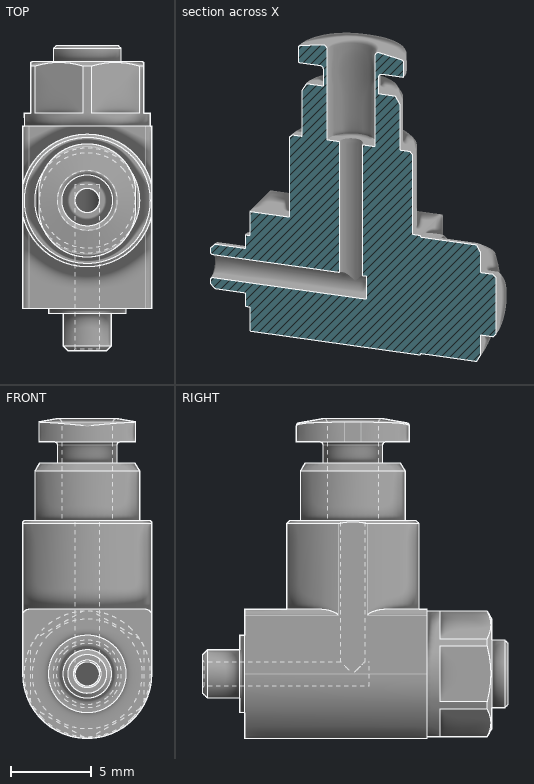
import cadquery as cq
import math


BODY_WIDTH = 8.0
BODY_RADIUS = BODY_WIDTH / 2
BODY_TOP = 4.0
BODY_FRONT = -6.7
BODY_BACK = 4.6
BODY_EDGE_FILLET = 0.4

TOWER_DIAMETER = 8.2
TOWER_TOP = 9.5
TOWER_CHAMFER = 0.2
COLLAR_DIAMETER = 6.5
COLLAR_TOP = 13.05
COLLAR_CHAMFER_HEIGHT = 0.5
COLLAR_CHAMFER_INSET = 0.3

NECK_DIAMETER = 3.7
NECK_FILLET = 0.2
BUTTON_WIDTH = 6.0
BUTTON_LENGTH = 7.0
BUTTON_BOTTOM = 14.35
BUTTON_TOP = 15.8
BUTTON_SLOPE_ANGLE = math.radians(10)
BUTTON_RIM_FILLET = 0.2
TUBE_BORE_DIAMETER = 3.15
TUBE_MOUTH_DIAMETER = 3.7
TUBE_MOUTH_FILLET = (TUBE_MOUTH_DIAMETER - TUBE_BORE_DIAMETER) / 2
TUBE_BORE_BOTTOM = TOWER_TOP

FLANGE_DIAMETER = 4.8
FLANGE_THICKNESS = 0.3
FLANGE_FRONT = BODY_FRONT - FLANGE_THICKNESS
PIN_DIAMETER = 3.0
PIN_FRONT = -9.3
PIN_CHAMFER = 0.3

PASSAGE_DIAMETER = 1.5
PASSAGE_MOUTH_CHAMFER = 0.1
PASSAGE_BACK = 1.0

WASHER_DIAMETER = 7.8
WASHER_BACK = 5.4
HEX_ACROSS_FLATS = 7.0
HEX_CORNER_DIAMETER = 7.8
HEX_SIDES = 6
HEX_BACK = 8.6
HEX_CHAMFER_INSET = 0.5
HEX_CHAMFER_ANGLE = math.radians(30)
HEX_CHAMFER_LENGTH = HEX_CHAMFER_INSET * math.tan(HEX_CHAMFER_ANGLE)
STUB_DIAMETER = 4.2
STUB_BACK = 9.6
STUB_CHAMFER = 0.2


def cylinder_z(diameter, bottom, top):
    return cq.Workplane("XY", origin=(0, 0, bottom)).circle(diameter / 2).extrude(top - bottom)


def cylinder_y(diameter, front, back):
    return cq.Workplane("XZ", origin=(0, back, 0)).circle(diameter / 2).extrude(back - front)


def revolve_z(profile):
    """Close an XZ half profile and turn it about the branch axis."""
    return profile.close().revolve(360, (0, 0, 0), (0, 1, 0))


def make_body():
    outline = (
        cq.Workplane("XZ", origin=(0, BODY_BACK, 0))
        .moveTo(-BODY_RADIUS, 0)
        .threePointArc((0, -BODY_RADIUS), (BODY_RADIUS, 0))
        .lineTo(BODY_RADIUS, BODY_TOP)
        .lineTo(-BODY_RADIUS, BODY_TOP)
        .close()
    )
    body = outline.extrude(BODY_BACK - BODY_FRONT)
    return body.faces(">Z").edges("|Y").fillet(BODY_EDGE_FILLET)


def make_tower():
    """Chamfered cylinder with two flats flush with the sides of the body."""
    tower = cylinder_z(TOWER_DIAMETER, 0, TOWER_TOP).faces(">Z").chamfer(TOWER_CHAMFER)
    width_limit = cq.Workplane("XY").rect(BODY_WIDTH, TOWER_DIAMETER).extrude(TOWER_TOP)
    return tower.intersect(width_limit)


def make_collar():
    collar = cylinder_z(COLLAR_DIAMETER, TOWER_TOP, COLLAR_TOP)
    return collar.faces(">Z").chamfer(COLLAR_CHAMFER_HEIGHT, COLLAR_CHAMFER_INSET)


def make_neck():
    """Round neck whose top flares into the underside of the head with a fillet."""
    neck_radius = NECK_DIAMETER / 2
    fillet_outer = neck_radius + NECK_FILLET
    fillet_bottom = BUTTON_BOTTOM - NECK_FILLET
    profile = (
        cq.Workplane("XZ")
        .moveTo(0, COLLAR_TOP)
        .lineTo(neck_radius, COLLAR_TOP)
        .lineTo(neck_radius, fillet_bottom)
        .radiusArc((fillet_outer, BUTTON_BOTTOM), NECK_FILLET)
        .lineTo(0, BUTTON_BOTTOM)
    )
    return revolve_z(profile)


def make_head():
    """Oval button head cut from a turned blank with a conical top and a rounded rim."""
    mouth_radius = TUBE_MOUTH_DIAMETER / 2
    rim_radius = BUTTON_LENGTH / 2
    rim_height = BUTTON_TOP - (rim_radius - mouth_radius) * math.tan(BUTTON_SLOPE_ANGLE)
    rim_setback = BUTTON_RIM_FILLET * math.tan((math.pi / 2 - BUTTON_SLOPE_ANGLE) / 2)
    fillet_inner = rim_radius - rim_setback * math.cos(BUTTON_SLOPE_ANGLE)
    fillet_top = rim_height + rim_setback * math.sin(BUTTON_SLOPE_ANGLE)
    profile = (
        cq.Workplane("XZ")
        .moveTo(0, BUTTON_BOTTOM)
        .lineTo(rim_radius, BUTTON_BOTTOM)
        .lineTo(rim_radius, rim_height - rim_setback)
        .radiusArc((fillet_inner, fillet_top), -BUTTON_RIM_FILLET)
        .lineTo(mouth_radius, BUTTON_TOP)
        .lineTo(0, BUTTON_TOP)
    )
    oval = (
        cq.Workplane("XY", origin=(0, 0, BUTTON_BOTTOM))
        .slot2D(BUTTON_LENGTH, BUTTON_WIDTH, 90)
        .extrude(BUTTON_TOP - BUTTON_BOTTOM)
    )
    return oval.intersect(revolve_z(profile))


def make_spigot():
    flange = cylinder_y(FLANGE_DIAMETER, FLANGE_FRONT, BODY_FRONT)
    pin = cylinder_y(PIN_DIAMETER, PIN_FRONT, BODY_FRONT).faces("<Y").chamfer(PIN_CHAMFER)
    return flange.union(pin)


def make_screw_head():
    """Washer, hexagon with turned corners pointing along Z, and end stub."""
    washer = cylinder_y(WASHER_DIAMETER, BODY_BACK, WASHER_BACK)
    hexagon = (
        cq.Workplane("XZ", origin=(0, HEX_BACK, 0))
        .polygon(HEX_SIDES, HEX_ACROSS_FLATS, circumscribed=True)
        .extrude(HEX_BACK - WASHER_BACK)
    )
    turned_blank = (
        cylinder_y(HEX_CORNER_DIAMETER, WASHER_BACK, HEX_BACK)
        .faces(">Y")
        .chamfer(HEX_CHAMFER_LENGTH, HEX_CHAMFER_INSET)
    )
    stub = cylinder_y(STUB_DIAMETER, HEX_BACK, STUB_BACK).faces(">Y").chamfer(STUB_CHAMFER)
    return washer.union(hexagon.intersect(turned_blank)).union(stub)


def make_tube_bore():
    """Tube socket with a rounded mouth, and the passage down to the body axis."""
    bore_radius = TUBE_BORE_DIAMETER / 2
    mouth_radius = TUBE_MOUTH_DIAMETER / 2
    profile = (
        cq.Workplane("XZ")
        .moveTo(0, TUBE_BORE_BOTTOM)
        .lineTo(bore_radius, TUBE_BORE_BOTTOM)
        .lineTo(bore_radius, BUTTON_TOP - TUBE_MOUTH_FILLET)
        .radiusArc((mouth_radius, BUTTON_TOP), TUBE_MOUTH_FILLET)
        .lineTo(0, BUTTON_TOP)
    )
    return revolve_z(profile).union(cylinder_z(PASSAGE_DIAMETER, 0, TUBE_BORE_BOTTOM))


def make_spigot_bore():
    """Blind passage from the spigot end to past the branch axis."""
    passage_radius = PASSAGE_DIAMETER / 2
    bore = cylinder_y(PASSAGE_DIAMETER, PIN_FRONT, PASSAGE_BACK)
    mouth_radius = passage_radius + PASSAGE_MOUTH_CHAMFER
    countersink = cq.Workplane("XY").add(
        cq.Solid.makeCone(
            mouth_radius,
            passage_radius,
            PASSAGE_MOUTH_CHAMFER,
            pnt=cq.Vector(0, PIN_FRONT, 0),
            dir=cq.Vector(0, 1, 0),
        )
    )
    return bore.union(countersink)


result = make_body()
for section in (
    make_tower(),
    make_collar(),
    make_neck(),
    make_head(),
    make_spigot(),
    make_screw_head(),
):
    result = result.union(section)
for bore in (make_tube_bore(), make_spigot_bore()):
    result = result.cut(bore)